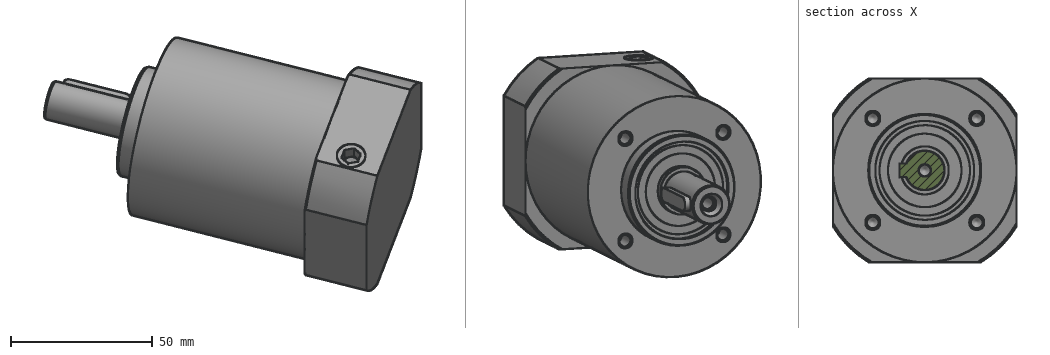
import cadquery as cq
import math


total_length = 127.5
shaft_length = 30.0
collar_length = 1.0
pilot_length = 8.0
flange_length = 23.0

pilot_face_x = -pilot_length
collar_face_x = pilot_face_x - collar_length
shaft_tip_x = collar_face_x - shaft_length
rear_x = shaft_tip_x + total_length
flange_face_x = rear_x - flange_length

body_diameter = 65.0
pilot_diameter = 40.0
pilot_chamfer_length = 0.75
pilot_chamfer_depth = 0.4

seal_recess_diameter = 35.0
seal_recess_depth = 1.5
seal_rim_diameter = 32.0
seal_lip_diameter = 26.0
seal_step = 0.1

shaft_diameter = 14.0
shaft_chamfer_length = 0.6
shaft_chamfer_depth = 0.35
collar_diameter = 17.0

drill_tip_angle = 118.0

center_mouth_diameter = 8.1
center_mouth_angle = 60.0
center_relief_diameter = 5.3
center_relief_depth = 4.0
center_drill_diameter = 4.2
center_drill_depth = 15.0

key_length = 25.0
key_width = 5.0
key_height = 5.0
key_top_y = 9.0
key_tip_gap = 2.5

flange_width = body_diameter
flange_corner_diameter = 76.0
flange_chamfer = 0.5

mount_circle_diameter = 52.0
mount_hole_count = 4
mount_first_angle = 45.0
mount_mouth_diameter = 5.3
mount_mouth_angle = 90.0
mount_drill_diameter = 4.2
mount_drill_depth = 10.0

plug_x = (flange_face_x + rear_x) / 2
plug_y = -14.0
plug_diameter = 10.11
plug_recess = 0.2
hex_width = 6.0
hex_depth = 5.0


def cylinder(start_x, end_x, diameter):
    """Cylinder on the gearbox axis between two X positions."""
    plane = cq.Workplane("YZ", origin=(start_x, 0, 0))
    return plane.circle(diameter / 2).extrude(end_x - start_x)


def cone_length(radius_change, full_angle):
    """Axial length over which a cone of the given full angle changes its radius."""
    return radius_change / math.tan(math.radians(full_angle / 2))


def revolve_hole(profile):
    """Turn (axial, radial) profile points about the X axis."""
    return cq.Workplane("XY").polyline(profile).close().revolve(360, (0, 0, 0), (1, 0, 0))


def make_flange():
    """Square flange whose corners are turned round and chamfered on the front."""
    block = cq.Workplane("YZ", origin=(flange_face_x, 0, 0)).rect(flange_width, flange_width)
    block = block.extrude(flange_length)
    corners = cylinder(flange_face_x, rear_x, flange_corner_diameter)
    corners = corners.faces("<X").edges().chamfer(flange_chamfer)
    return block.intersect(corners)


def make_pilot():
    pilot = cylinder(pilot_face_x, 0, pilot_diameter)
    pilot = pilot.faces("<X").edges().chamfer(pilot_chamfer_length, pilot_chamfer_depth)
    seal_face_x = pilot_face_x + seal_recess_depth
    for diameter in (seal_recess_diameter, seal_rim_diameter, seal_lip_diameter):
        pilot = pilot.cut(cylinder(pilot_face_x, seal_face_x, diameter))
        seal_face_x += seal_step
    return pilot


def make_shaft():
    shaft = cylinder(shaft_tip_x, 0, shaft_diameter)
    shaft = shaft.faces("<X").edges().chamfer(shaft_chamfer_length, shaft_chamfer_depth)
    collar = cylinder(collar_face_x, 0, collar_diameter)
    return shaft.union(collar)


def make_key():
    center_x = shaft_tip_x + key_tip_gap + key_length / 2
    plane = cq.Workplane("XZ", origin=(center_x, key_top_y, 0))
    return plane.slot2D(key_length, key_width).extrude(key_height)


def make_center_hole():
    """Conical mouth, straight relief, then a drill with a pointed end."""
    mouth_radius = center_mouth_diameter / 2
    relief_radius = center_relief_diameter / 2
    drill_radius = center_drill_diameter / 2
    mouth_depth = cone_length(mouth_radius - relief_radius, center_mouth_angle)
    tip_depth = center_drill_depth + cone_length(drill_radius, drill_tip_angle)
    profile = [
        (0, 0),
        (0, mouth_radius),
        (mouth_depth, relief_radius),
        (center_relief_depth, relief_radius),
        (center_relief_depth, drill_radius),
        (center_drill_depth, drill_radius),
        (tip_depth, 0),
    ]
    return revolve_hole(profile).translate((shaft_tip_x, 0, 0))


def make_mount_hole():
    """Countersunk drilled hole along +X, starting at the origin."""
    mouth_radius = mount_mouth_diameter / 2
    drill_radius = mount_drill_diameter / 2
    mouth_depth = cone_length(mouth_radius - drill_radius, mount_mouth_angle)
    tip_depth = mount_drill_depth + cone_length(drill_radius, drill_tip_angle)
    profile = [
        (0, 0),
        (0, mouth_radius),
        (mouth_depth, drill_radius),
        (mount_drill_depth, drill_radius),
        (tip_depth, 0),
    ]
    return revolve_hole(profile)


def cut_mount_holes(part):
    circle_radius = mount_circle_diameter / 2
    for index in range(mount_hole_count):
        angle = math.radians(mount_first_angle + index * 360 / mount_hole_count)
        y = circle_radius * math.cos(angle)
        z = circle_radius * math.sin(angle)
        part = part.cut(make_mount_hole().translate((0, y, z)))
    return part


def make_plug_cut():
    """Slightly sunk plug face with a hexagon socket whose floor is a drill cone."""
    top_z = flange_width / 2
    hex_corner_diameter = hex_width / math.cos(math.pi / 6)
    floor_cone_length = cone_length(hex_width / 2, drill_tip_angle)
    top = cq.Workplane("XY", origin=(plug_x, plug_y, top_z))
    face = top.circle(plug_diameter / 2).extrude(-plug_recess)
    socket = top.transformed(rotate=(0, 0, 90)).polygon(6, hex_corner_diameter).extrude(-hex_depth)
    floor_center = cq.Vector(plug_x, plug_y, top_z - hex_depth)
    floor_cone = cq.Solid.makeCone(hex_width / 2, 0, floor_cone_length, floor_center, cq.Vector(0, 0, -1))
    return face.union(socket).union(cq.Workplane(floor_cone))


body = cylinder(0, flange_face_x, body_diameter)
result = body.union(make_flange()).union(make_pilot()).union(make_shaft()).union(make_key())
result = result.cut(make_center_hole())
result = cut_mount_holes(result)
result = result.cut(make_plug_cut())